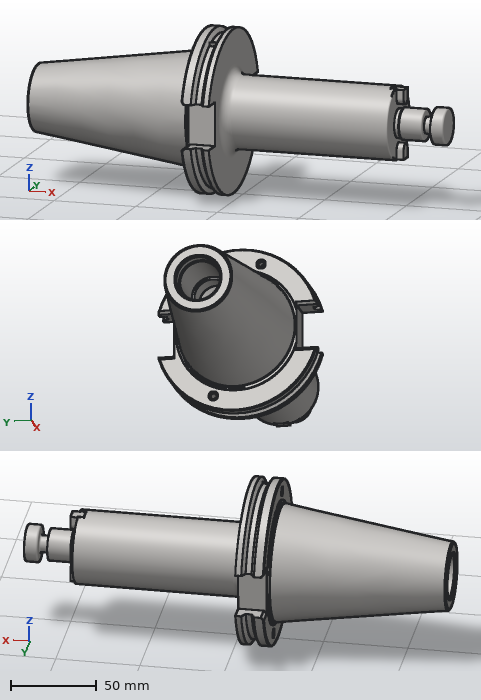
import cadquery as cq
import math

taper_end_x = 101.5
taper_big_radius = 35.0
taper_slope = 7 / 48
taper_small_radius = taper_big_radius - taper_slope * taper_end_x
taper_edge_chamfer = 0.8

relief_radius = 34.5
relief_chamfer = taper_big_radius - relief_radius
relief_fillet = 0.8
face_recess_radius = 36.8
face_recess_depth = 0.5

flange_start_x = 103.0
flange_end_x = 120.0
flange_diameter = 98.5
flange_radius = flange_diameter / 2
flange_chamfer = 0.5
recess_floor_x = flange_start_x + face_recess_depth
groove_center_x = 112.6
groove_floor_radius = 45.9
groove_floor_width = 3.5
groove_mouth_width = 7.5

slot_width = 26.2
slot_chamfer = 1.8
front_slot_floor = 35.3
back_slot_floor = 37.8

coolant_angle = 20
coolant_radius = 1.8
coolant_countersink = 1.0
coolant_circle_radius = 41.8
port_radius = 2.3

shank_end_x = 221.2
shank_radius = 22.0
shank_fillet = 5.8
shank_end_fillet = 0.8
pilot_neck_radius = 8.8
pilot_neck_end_x = 223.7
pilot_radius = 9.5
pilot_chamfer = pilot_radius - pilot_neck_radius
pilot_end_x = 238.4
pilot_end_fillet = 0.8

mouth_radius = 14.0
counterbore_radius = 13.0
counterbore_depth = 7.3
thread_radius = 12.3
thread_depth = 37.8
bore_radius = 10.8
bore_depth = 50.5
bore_tip_radius = 4.3
bore_tip_angle = 118

key_start_x = 217.5
key_end_x = 225.5
key_width = 8.0
key_outer_z = 21.0
key_inner_z = 11.5

screw_depth = 25.2
screw_start_x = pilot_end_x - screw_depth
screw_radius = 5.0
screw_fillet = 1.0
head_start_x = 243.7
head_end_x = 252.0
head_radius = 11.0
head_fillet = 1.3


def spin(profile):
    """Solid of revolution about X from a closed profile whose Y is the radius."""
    return profile.close().revolve(360, (0, 0, 0), (1, 0, 0))


def turned(points):
    """Solid of revolution about X from (x, radius) points."""
    return spin(cq.Workplane("XY").polyline(points))


def make_taper():
    return spin(
        cq.Workplane("XY")
        .lineTo(0, taper_small_radius - taper_edge_chamfer)
        .lineTo(taper_edge_chamfer, taper_small_radius + taper_slope * taper_edge_chamfer)
        .lineTo(taper_end_x, taper_big_radius)
        .lineTo(taper_end_x + relief_chamfer, relief_radius)
        .lineTo(recess_floor_x - relief_fillet, relief_radius)
        .tangentArcPoint((recess_floor_x, relief_radius + relief_fillet), relative=False)
        .lineTo(recess_floor_x, 0)
    )


def make_flange():
    return turned([
        (recess_floor_x, 0),
        (recess_floor_x, face_recess_radius),
        (flange_start_x, face_recess_radius),
        (flange_start_x, flange_radius - flange_chamfer),
        (flange_start_x + flange_chamfer, flange_radius),
        (groove_center_x - groove_mouth_width / 2, flange_radius),
        (groove_center_x - groove_floor_width / 2, groove_floor_radius),
        (groove_center_x + groove_floor_width / 2, groove_floor_radius),
        (groove_center_x + groove_mouth_width / 2, flange_radius),
        (flange_end_x, flange_radius),
        (flange_end_x, 0),
    ])


def make_shank():
    """Shank with a filleted root, and the pilot behind a narrower neck."""
    return spin(
        cq.Workplane("XY")
        .moveTo(pilot_end_x, 0)
        .lineTo(pilot_end_x, pilot_radius - pilot_end_fillet)
        .tangentArcPoint((pilot_end_x - pilot_end_fillet, pilot_radius), relative=False)
        .lineTo(pilot_neck_end_x + pilot_chamfer, pilot_radius)
        .lineTo(pilot_neck_end_x, pilot_neck_radius)
        .lineTo(shank_end_x, pilot_neck_radius)
        .lineTo(shank_end_x, shank_radius - shank_end_fillet)
        .tangentArcPoint((shank_end_x - shank_end_fillet, shank_radius), relative=False)
        .lineTo(flange_end_x + shank_fillet, shank_radius)
        .tangentArcPoint((flange_end_x, shank_radius + shank_fillet), relative=False)
        .lineTo(flange_end_x, 0)
    )


def drive_slot(start_y, end_y):
    """Slot cut through the flange along X, with its side walls chamfered at the taper side."""
    half = slot_width / 2
    return (
        cq.Workplane("XZ")
        .workplane(offset=-end_y)
        .polyline([
            (flange_start_x, half + slot_chamfer),
            (flange_start_x + slot_chamfer, half),
            (flange_end_x, half),
            (flange_end_x, -half),
            (flange_start_x + slot_chamfer, -half),
            (flange_start_x, -half - slot_chamfer),
        ])
        .close()
        .extrude(end_y - start_y)
    )


def coolant_passage(angle):
    """Countersunk axial hole and radial port, turned about X by the angle from +Z."""
    face = cq.Workplane("YZ").workplane(offset=flange_start_x).center(0, coolant_circle_radius)
    hole = face.circle(coolant_radius).extrude(groove_center_x - flange_start_x)
    countersink = (
        face.circle(coolant_radius + coolant_countersink)
        .workplane(offset=coolant_countersink)
        .circle(coolant_radius)
        .loft()
    )
    port = (
        cq.Workplane("XY")
        .workplane(offset=coolant_circle_radius)
        .center(groove_center_x, 0)
        .circle(port_radius)
        .extrude(flange_radius - coolant_circle_radius)
    )
    return hole.union(countersink).union(port).rotate((0, 0, 0), (1, 0, 0), angle)


def taper_bore():
    """Stepped bore: chamfered mouth, counterbore, plain thread bore and drilled end."""
    tip_length = (bore_radius - bore_tip_radius) / math.tan(math.radians(bore_tip_angle / 2))
    return turned([
        (0, 0),
        (0, mouth_radius),
        (mouth_radius - counterbore_radius, counterbore_radius),
        (counterbore_depth, counterbore_radius),
        (counterbore_depth, thread_radius),
        (thread_depth, thread_radius),
        (thread_depth, bore_radius),
        (bore_depth, bore_radius),
        (bore_depth + tip_length, bore_tip_radius),
        (bore_depth + tip_length, 0),
    ])


def key_shape(side, outer_z):
    """Key block with a full-round inner end; side is +1 for the upper key, -1 for the lower."""
    half = key_width / 2
    round_z = key_inner_z + half
    return (
        cq.Workplane("YZ")
        .workplane(offset=key_start_x)
        .moveTo(-half, side * outer_z)
        .lineTo(-half, side * round_z)
        .threePointArc((0, side * key_inner_z), (half, side * round_z))
        .lineTo(half, side * outer_z)
        .close()
        .extrude(key_end_x - key_start_x)
    )


def make_key(side):
    return key_shape(side, key_outer_z)


def key_seat(side):
    """Recess for a key, open to the outside of the shank."""
    return key_shape(side, shank_radius)


def screw_hole():
    """Blind hole in the pilot end that fits the plain screw body."""
    return turned([
        (screw_start_x, 0),
        (screw_start_x, screw_radius),
        (pilot_end_x, screw_radius),
        (pilot_end_x, 0),
    ])


def make_screw():
    """Headed screw with a filleted underhead and rounded head edges."""
    return spin(
        cq.Workplane("XY")
        .moveTo(screw_start_x, 0)
        .lineTo(screw_start_x, screw_radius)
        .lineTo(head_start_x - screw_fillet, screw_radius)
        .tangentArcPoint((head_start_x, screw_radius + screw_fillet), relative=False)
        .lineTo(head_start_x, head_radius - head_fillet)
        .tangentArcPoint((head_start_x + head_fillet, head_radius), relative=False)
        .lineTo(head_end_x - head_fillet, head_radius)
        .tangentArcPoint((head_end_x, head_radius - head_fillet), relative=False)
        .lineTo(head_end_x, 0)
    )


def make_holder():
    body = make_taper().union(make_flange())
    body = body.cut(drive_slot(-flange_radius, -front_slot_floor))
    body = body.cut(drive_slot(back_slot_floor, flange_radius))
    for half_turn in (0, 180):
        body = body.cut(coolant_passage(coolant_angle + half_turn))
    body = body.union(make_shank())
    body = body.cut(taper_bore()).cut(screw_hole())
    for side in (1, -1):
        body = body.cut(key_seat(side))
    return body


holder = make_holder()
keys = [make_key(side) for side in (1, -1)]
screw = make_screw()

result = cq.Compound.makeCompound([holder.val(), *[key.val() for key in keys], screw.val()])